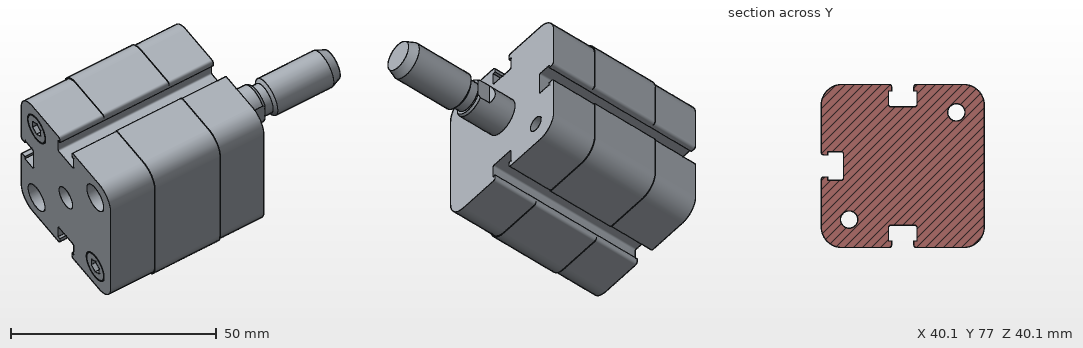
import cadquery as cq
import math

total_length = 77.0
body_length = 44.5

barrel_width = 40.1
cap_step = 0.2
cap_width = barrel_width - 2 * cap_step
cap_length = 12.8
barrel_length = body_length - 2 * cap_length
corner_radius = 5.1

slot_opening = 5.3
slot_inner_width = 6.85
slot_floor_height = 14.4
slot_lip_height = 18.2
slot_mouth_radius = 0.7
slot_floor_radius = 0.5
slot_angles = (0, 90, 180)

bolt_spacing = 26.0
through_diameter = 4.15
counterbore_diameter = 7.5
counterbore_depth = 4.55
screw_pocket_diameter = 8.0
screw_head_diameter = 7.5
screw_head_height = 5.0
hex_across_flats = 3.5
hex_depth = 2.3
port_diameter = 6.0
port_depth = 7.7

rod_diameter = 10.0
neck_diameter = 8.0
tip_chamfer_length = 2.55
thread_length = 19.5
thread_end_chamfer = 0.7
neck_length = 2.3
shoulder_chamfer_length = 0.7
shoulder_chamfer_depth = 0.3
wrench_flat_width = 8.0
wrench_flat_length = 3.55

rod_radius = rod_diameter / 2
neck_radius = neck_diameter / 2
rod_tip = total_length
shoulder_y = rod_tip - thread_length - neck_length
bolt_offset = bolt_spacing / 2


def section_plane(y):
    """Plane square to the axis: local x is X, local y is Z, extrusion goes toward +Y."""
    return cq.Workplane(cq.Plane(origin=(0, y, 0), xDir=(1, 0, 0), normal=(0, -1, 0)))


def rounded_block(width, y, length):
    block = section_plane(y).rect(width, width).extrude(-length)
    return block.edges("|Y").fillet(corner_radius)


def cylinder(x, z, diameter, y, length):
    return section_plane(y).center(x, z).circle(diameter / 2).extrude(-length)


def sensor_slot(width, y, length):
    """T-slot cutter opening toward +Z, with rounded floor corners and a rounded mouth."""
    half_opening = slot_opening / 2
    face_height = width / 2
    inner_height = slot_lip_height - slot_floor_height
    pocket = (
        section_plane(y)
        .center(0, slot_floor_height + inner_height / 2)
        .rect(slot_inner_width, inner_height)
        .extrude(-length)
        .edges("|Y and <Z")
        .fillet(slot_floor_radius)
    )
    mouth_start = face_height - slot_mouth_radius
    mouth_half_width = half_opening + slot_mouth_radius
    arc_inset = slot_mouth_radius * (1 - math.sqrt(0.5))
    arc_x = half_opening + arc_inset
    arc_z = face_height - arc_inset
    mouth = (
        section_plane(y)
        .moveTo(-half_opening, slot_floor_height + slot_floor_radius)
        .lineTo(half_opening, slot_floor_height + slot_floor_radius)
        .lineTo(half_opening, mouth_start)
        .threePointArc((arc_x, arc_z), (mouth_half_width, face_height))
        .lineTo(-mouth_half_width, face_height)
        .threePointArc((-arc_x, arc_z), (-half_opening, mouth_start))
        .close()
        .extrude(-length)
    )
    return pocket.union(mouth)


def body_section(width, y, length):
    """One length of the body with its slots on the top, left and bottom faces."""
    section = rounded_block(width, y, length)
    slot = sensor_slot(width, y, length)
    for angle in slot_angles:
        section = section.cut(slot.rotate((0, 0, 0), (0, 1, 0), -angle))
    return section


def hex_screw(x, z):
    """Socket screw head standing in its pocket, flush with the front face."""
    head = cylinder(x, z, screw_head_diameter, 0, screw_head_height)
    hex_corner_diameter = hex_across_flats / math.cos(math.pi / 6)
    socket = (
        section_plane(0)
        .center(x, z)
        .transformed(rotate=(0, 0, 30))
        .polygon(6, hex_corner_diameter)
        .extrude(-hex_depth)
    )
    return head.cut(socket)


def piston_rod():
    """Turned rod: chamfered thread, neck and shoulder, then two wrench flats."""
    thread_end = rod_tip - thread_length
    rod = (
        cq.Workplane("XY")
        .moveTo(0, body_length)
        .lineTo(rod_radius, body_length)
        .lineTo(rod_radius, shoulder_y - shoulder_chamfer_length)
        .lineTo(rod_radius - shoulder_chamfer_depth, shoulder_y)
        .lineTo(neck_radius, shoulder_y)
        .lineTo(neck_radius, thread_end)
        .lineTo(rod_radius, thread_end + thread_end_chamfer)
        .lineTo(rod_radius, rod_tip - tip_chamfer_length)
        .lineTo(neck_radius, rod_tip)
        .lineTo(0, rod_tip)
        .close()
        .revolve(360, (0, 0, 0), (0, 1, 0))
    )
    flat_x = wrench_flat_width / 2
    flat_end = shoulder_y - wrench_flat_length
    flat_depth = rod_radius - flat_x
    flat_cutter = (
        cq.Workplane("XY")
        .moveTo(flat_x, shoulder_y)
        .lineTo(flat_x, flat_end)
        .lineTo(rod_radius, flat_end - flat_depth)
        .lineTo(rod_radius, shoulder_y)
        .close()
        .extrude(rod_radius, both=True)
    )
    return rod.cut(flat_cutter).cut(flat_cutter.mirror("YZ"))


body = body_section(cap_width, 0, cap_length)
body = body.union(body_section(barrel_width, cap_length, barrel_length))
body = body.union(body_section(cap_width, cap_length + barrel_length, cap_length))

for side in (-1, 1):
    hole_x = side * bolt_offset
    body = body.cut(cylinder(hole_x, hole_x, through_diameter, 0, body_length))
    body = body.cut(cylinder(hole_x, hole_x, counterbore_diameter, 0, counterbore_depth))
    body = body.cut(cylinder(hole_x, -hole_x, screw_pocket_diameter, 0, screw_head_height))
    body = body.union(hex_screw(hole_x, -hole_x))

body = body.cut(cylinder(0, 0, port_diameter, 0, port_depth))

result = body.union(piston_rod())